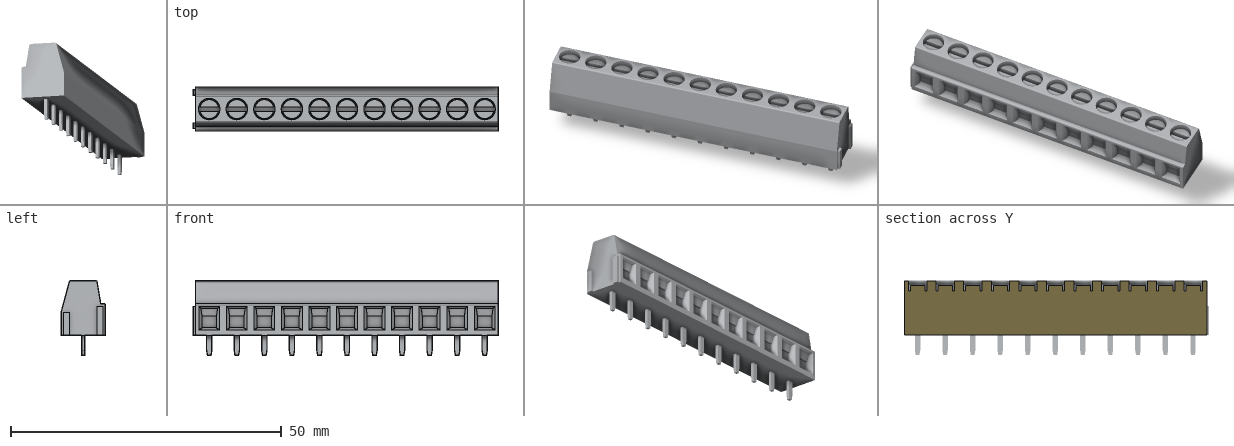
import cadquery as cq

pole_count = 11
total_length = 56.4
tab_reach = 0.45
pitch = (total_length - tab_reach) / pole_count
body_length = pole_count * pitch

depth = 8.2
front_y = -depth / 2
back_y = depth / 2
body_height = 10.1
top_half_width = 2.55
ledge_height = 5.85
ledge_width = 0.85
back_wall_height = 4.35
edge_radius = 0.3
ledge_radius = 0.3

entry_width = 3.85
entry_bottom = 1.0
entry_top = 5.3
funnel_depth = 0.9
funnel_side_inset = 0.55
entry_floor_rise = 0.45
entry_depth = 1.3
clamp_top_depth = 0.6
clamp_top_drop = 0.35
clamp_bottom = 3.6

hole_radius = 2.0
head_radius = 1.75
hole_depth = 1.85
head_drop = 0.85
slot_width = 0.85
slot_depth = 1.0

pin_length = 3.7
pin_width = 1.0
pin_thickness = 0.55
pin_tip_length = 0.95
pin_tip_width = 0.7

tab_outer_y = 3.6
tab_inner_y = 2.55
front_tab_height = 5.35
back_tab_height = 4.2


def housing():
    """Long prism with sloping shoulders and a ledge over the wire entries."""
    ledge_y = front_y + ledge_width
    outline = [
        (front_y, 0),
        (back_y, 0),
        (back_y, back_wall_height),
        (top_half_width, body_height),
        (-top_half_width, body_height),
        (ledge_y, ledge_height),
        (front_y, ledge_height),
    ]
    body = cq.Workplane("YZ").polyline(outline).close().extrude(body_length)
    body = body.faces(">Z").edges("|X").fillet(edge_radius)
    return body.faces("<Y").edges(">Z").fillet(ledge_radius)


def wire_entry(x):
    """Funnel that narrows inwards, roofed by a leaning clamp face, with a straight bore behind."""
    funnel_y = front_y + funnel_depth
    end_y = front_y + entry_depth
    inner_width = entry_width - 2 * funnel_side_inset

    side_profile = [
        (front_y, entry_bottom),
        (end_y, entry_bottom + entry_floor_rise),
        (end_y, clamp_bottom),
        (funnel_y, clamp_bottom),
        (front_y + clamp_top_depth, entry_top - clamp_top_drop),
        (front_y, entry_top),
    ]
    side_prism = (
        cq.Workplane("YZ", origin=(x - entry_width / 2, 0, 0))
        .polyline(side_profile)
        .close()
        .extrude(entry_width)
    )

    plan_profile = [
        (x - entry_width / 2, front_y),
        (x + entry_width / 2, front_y),
        (x + inner_width / 2, funnel_y),
        (x + inner_width / 2, end_y),
        (x - inner_width / 2, end_y),
        (x - inner_width / 2, funnel_y),
    ]
    plan_prism = cq.Workplane("XY").polyline(plan_profile).close().extrude(body_height)
    return side_prism.intersect(plan_prism)


def screw_hole(x):
    """Round hole holding a slotted screw head, with a narrow gap around the head."""
    hole_floor = cq.Workplane("XY", origin=(x, 0, body_height - hole_depth))
    hole = hole_floor.circle(hole_radius).extrude(hole_depth)
    head = hole_floor.circle(head_radius).extrude(hole_depth - head_drop)
    slot_floor = hole_floor.workplane(offset=hole_depth - head_drop - slot_depth)
    slot = slot_floor.rect(2 * head_radius, slot_width).extrude(slot_depth)
    return hole.cut(head.cut(slot))


def pin(x):
    """Flat solder pin, narrowed in width at its tip."""
    shoulder_z = pin_tip_length - pin_length
    outline = [
        (x - pin_width / 2, 0),
        (x + pin_width / 2, 0),
        (x + pin_width / 2, shoulder_z),
        (x + pin_tip_width / 2, -pin_length),
        (x - pin_tip_width / 2, -pin_length),
        (x - pin_width / 2, shoulder_z),
    ]
    return cq.Workplane("XZ").polyline(outline).close().extrude(pin_thickness / 2, both=True)


def tab(side, height):
    """Upright tab on the left end; side is -1 for the front one and 1 for the back one."""
    centre_y = side * (tab_outer_y + tab_inner_y) / 2
    base = cq.Workplane("XY", origin=(-tab_reach / 2, centre_y, 0))
    return base.rect(tab_reach, tab_outer_y - tab_inner_y).extrude(height)


result = housing()
for pole in range(pole_count):
    pole_x = (pole + 0.5) * pitch
    result = result.cut(wire_entry(pole_x)).cut(screw_hole(pole_x)).union(pin(pole_x))
result = result.union(tab(-1, front_tab_height)).union(tab(1, back_tab_height))